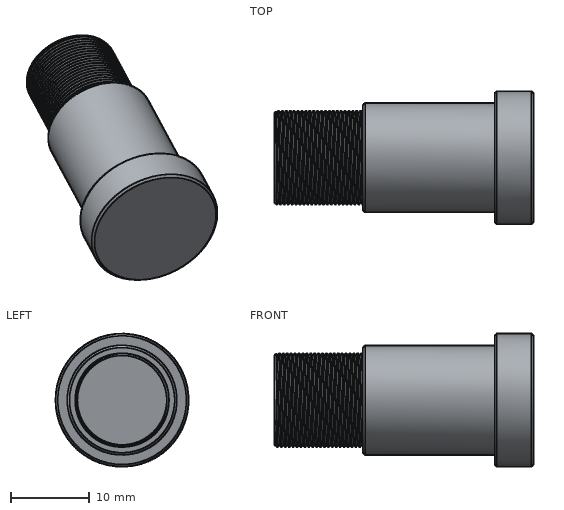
import cadquery as cq
import math

total_length = 33.1
head_length = 5.0
head_diameter = 17.0
shank_length = 16.8
shank_diameter = 14.0
edge_chamfer = 0.3

thread_diameter = 11.98
thread_pitch = 0.5
thread_depth = 0.27
crest_width = 0.05
top_groove_offset = 0.41
groove_overshoot = 0.05

end_x = -total_length / 2
head_x = total_length / 2 - head_length
shank_x = head_x - shank_length
thread_radius = thread_diameter / 2


def cylinder(start_x, length, diameter):
    return cq.Workplane("YZ", origin=(start_x, 0, 0)).circle(diameter / 2).extrude(length)


def thread_groove():
    """Helical V-groove that starts just off the end face and runs out inside the shank."""
    root_radius = thread_radius - thread_depth
    outer_radius = thread_radius + groove_overshoot
    flank_slope = (thread_pitch - crest_width) / 2 / thread_depth
    outer_half_width = flank_slope * (thread_depth + groove_overshoot)

    run_in = thread_pitch - top_groove_offset
    needed_length = shank_x - end_x + run_in
    turns = math.ceil(needed_length / thread_pitch)
    helix = cq.Wire.makeHelix(thread_pitch, turns * thread_pitch, root_radius)

    groove = (
        cq.Workplane("XZ")
        .moveTo(root_radius, 0)
        .lineTo(outer_radius, outer_half_width)
        .lineTo(outer_radius, -outer_half_width)
        .close()
        .sweep(cq.Workplane(obj=helix), isFrenet=True)
    )
    groove = groove.rotate((0, 0, 0), (0, 1, 0), 90)
    groove = groove.rotate((0, 0, 0), (1, 0, 0), 180)
    return groove.translate((end_x - run_in, 0, 0))


def threaded_end():
    blank_length = shank_x - end_x + 2 * thread_pitch
    blank = cylinder(end_x, blank_length, thread_diameter).faces("<X").chamfer(edge_chamfer)
    return blank.cut(thread_groove())


shank = cylinder(shank_x, shank_length, shank_diameter).faces("<X").chamfer(edge_chamfer)
head = cylinder(head_x, head_length, head_diameter).faces("<X or >X").chamfer(edge_chamfer)

result = shank.union(head).union(threaded_end())